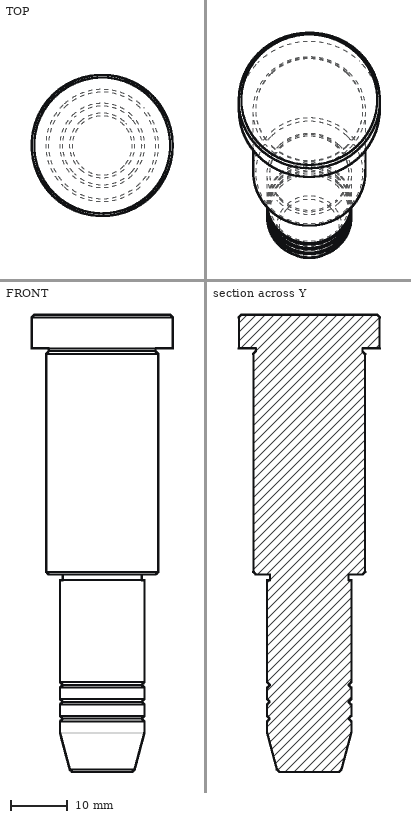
import cadquery as cq
import math

total_length = 81.0
head_height = 6.0
shank_length = 40.0
pin_neck_length = 1.0
nose_length = 7.0

head_radius = 25.0 / 2
shank_radius = 19.9 / 2
pin_radius = 15.0 / 2

edge_break = 0.5
relief_depth = 0.5
nose_angle = 15.0

groove_count = 3
groove_width = 1.0
groove_pitch = 3.0
first_groove_top = 15.95

head_bottom = total_length - head_height
shank_bottom = head_bottom - shank_length
pin_top = shank_bottom - pin_neck_length
tip_radius = pin_radius - (nose_length - edge_break) * math.tan(math.radians(nose_angle))
shank_neck_radius = shank_radius - relief_depth
pin_neck_radius = pin_radius - relief_depth


def groove_points(top):
    """Radius and height of the three corners of one V groove, top to bottom."""
    return [
        (pin_radius, top),
        (pin_radius - relief_depth, top - groove_width / 2),
        (pin_radius, top - groove_width),
    ]


head_points = [
    (0, total_length),
    (head_radius - edge_break, total_length),
    (head_radius, total_length - edge_break),
    (head_radius, head_bottom),
]
shank_points = [
    (shank_neck_radius, head_bottom),
    (shank_neck_radius, head_bottom - edge_break),
    (shank_radius, head_bottom - 2 * edge_break),
    (shank_radius, shank_bottom + edge_break),
    (shank_radius - edge_break, shank_bottom),
]
pin_points = [
    (pin_neck_radius, shank_bottom),
    (pin_neck_radius, pin_top),
    (pin_radius, pin_top),
]
for index in range(groove_count):
    pin_points += groove_points(first_groove_top - index * groove_pitch)
nose_points = [
    (pin_radius, nose_length),
    (tip_radius, edge_break),
    (tip_radius - edge_break, 0),
    (0, 0),
]

result = (
    cq.Workplane("XZ")
    .polyline(head_points + shank_points + pin_points + nose_points)
    .close()
    .revolve(360, (0, 0, 0), (0, 1, 0))
)